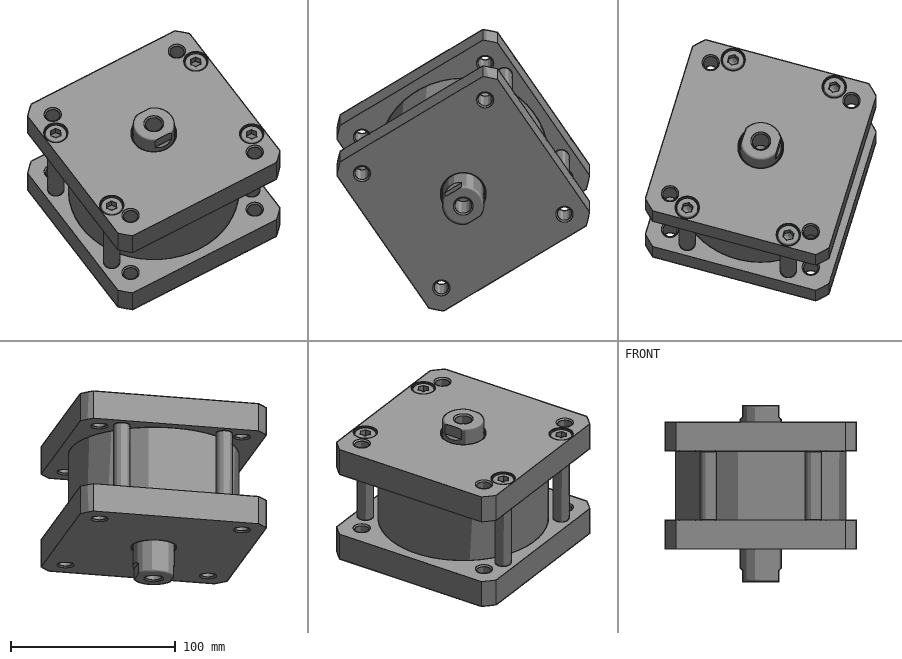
import cadquery as cq
import math


PLATE_SIDE = 116.0
PLATE_THICKNESS = 17.5
CORNER_DIAMETER = 155.1
MOUNT_HOLE_OFFSET = 44.4
MOUNT_HOLE_DIAMETER = 8.6
MOUNT_HOLE_CHAMFER = 0.9

BARREL_LENGTH = 42.0
BARREL_DIAMETER = 103.7
BARREL_BORE = 100.0
BARREL_EDGE_CHAMFER = 0.2

ROD_DIAMETER = 25.0
SEAL_RECESS_DIAMETER = 26.9
SEAL_RECESS_DEPTH = 2.3
SEAL_RECESS_CHAMFER = 0.5
ROD_RELIEF_DIAMETER = 25.6
ROD_RELIEF_DEPTH = 2.3
ROD_REACH_TOP = 10.0
ROD_REACH_BOTTOM = 2 * ROD_REACH_TOP
ROD_END_FILLET = 1.4
FLAT_WIDTH = 22.0
FLAT_LENGTH = 7.1
TAP_DIAMETER = 10.1
TAP_CHAMFER = 0.9
TAP_DEPTH = 20.0
TAP_POINT_ANGLE = 168.0

BOLT_X = 31.9
BOLT_Y = 50.1
BOLT_SHANK_DIAMETER = 10.0
BOLT_NECK_DIAMETER = 8.9
BOLT_HEAD_DIAMETER = 13.0
BOLT_HEAD_HEIGHT = 8.0
BOLT_HEAD_FILLET = 0.9
BOLT_ENGAGEMENT = 11.6
HEAD_RECESS = 0.5
COUNTERBORE_DIAMETER = 14.0
COUNTERBORE_CHAMFER = 0.3
SOCKET_ACROSS_FLATS = 6.0
SOCKET_DEPTH = 4.0
SOCKET_POINT_ANGLE = 118.0

INNER_FACE = BARREL_LENGTH / 2
OUTER_FACE = INNER_FACE + PLATE_THICKNESS
HEAD_TOP = OUTER_FACE - HEAD_RECESS
HEAD_SEAT = HEAD_TOP - BOLT_HEAD_HEIGHT
BOLT_END = -INNER_FACE - BOLT_ENGAGEMENT
ROD_TOP = OUTER_FACE + ROD_REACH_TOP
ROD_BOTTOM = -OUTER_FACE - ROD_REACH_BOTTOM

BOLT_POINTS = [(sx * BOLT_X, sy * BOLT_Y) for sx in (-1, 1) for sy in (-1, 1)]
MOUNT_POINTS = [
    (sx * MOUNT_HOLE_OFFSET, sy * MOUNT_HOLE_OFFSET) for sx in (-1, 1) for sy in (-1, 1)
]


def disc(diameter, z_low, z_high):
    """Cylinder on the Z axis between two heights."""
    return cq.Workplane("XY").workplane(offset=z_low).circle(diameter / 2).extrude(z_high - z_low)


def cone(diameter_low, diameter_high, z_low, z_high):
    """Cone or cone frustum on the Z axis between two heights."""
    height = z_high - z_low
    base = cq.Vector(0, 0, z_low)
    return cq.Workplane(cq.Solid.makeCone(diameter_low / 2, diameter_high / 2, height, base))


def drilled_hole(diameter, z_mouth, depth, point_angle):
    """Blind hole cutter opening upward, with a drill point below its full-diameter depth."""
    z_floor = z_mouth - depth
    point_height = diameter / 2 / math.tan(math.radians(point_angle / 2))
    return disc(diameter, z_floor, z_mouth).union(cone(0, diameter, z_floor - point_height, z_floor))


def chamfered_hole(diameter, z_low, z_high, chamfer):
    """Hole cutter that widens at its upper end."""
    mouth = cone(diameter, diameter + 2 * chamfer, z_high - chamfer, z_high)
    return disc(diameter, z_low, z_high).union(mouth)


def turned_over(body):
    """The body turned half a turn about the X axis."""
    return body.rotate((0, 0, 0), (1, 0, 0), 180)


def cut_at(body, cutter, points):
    """Cut the same axis-centred cutter out of a body at each XY point."""
    for x, y in points:
        body = body.cut(cutter.translate((x, y, 0)))
    return body


def make_plate():
    """Plate in the upper position, with rounded-off corners, the stepped rod bore and four mounting holes."""
    plate = (
        cq.Workplane("XY").workplane(offset=INNER_FACE)
        .rect(PLATE_SIDE, PLATE_SIDE).extrude(PLATE_THICKNESS)
        .intersect(disc(CORNER_DIAMETER, INNER_FACE, OUTER_FACE))
    )
    rod_bore = disc(ROD_DIAMETER, INNER_FACE, OUTER_FACE)
    recess_floor = OUTER_FACE - SEAL_RECESS_DEPTH
    recess = chamfered_hole(SEAL_RECESS_DIAMETER, recess_floor, OUTER_FACE, SEAL_RECESS_CHAMFER)
    relief = disc(ROD_RELIEF_DIAMETER, recess_floor - ROD_RELIEF_DEPTH, recess_floor)
    mount_hole = chamfered_hole(MOUNT_HOLE_DIAMETER, INNER_FACE, OUTER_FACE, MOUNT_HOLE_CHAMFER)
    inner_mouth = cone(
        MOUNT_HOLE_DIAMETER + 2 * MOUNT_HOLE_CHAMFER, MOUNT_HOLE_DIAMETER,
        INNER_FACE, INNER_FACE + MOUNT_HOLE_CHAMFER,
    )
    plate = plate.cut(rod_bore).cut(recess).cut(relief)
    return cut_at(plate, mount_hole.union(inner_mouth), MOUNT_POINTS)


def make_upper_plate():
    """Upper plate, with a counterbored hole for each tie bolt."""
    neck_hole = disc(BOLT_NECK_DIAMETER, INNER_FACE, OUTER_FACE)
    counterbore = chamfered_hole(COUNTERBORE_DIAMETER, HEAD_SEAT, OUTER_FACE, COUNTERBORE_CHAMFER)
    return cut_at(make_plate(), neck_hole.union(counterbore), BOLT_POINTS)


def make_lower_plate():
    """Lower plate, with a blind hole that seats the end of each tie bolt."""
    seat = disc(BOLT_NECK_DIAMETER, BOLT_END, -INNER_FACE)
    return cut_at(turned_over(make_plate()), seat, BOLT_POINTS)


def make_barrel():
    """Tube held between the plates, with its outer edges broken."""
    tube = disc(BARREL_DIAMETER, -INNER_FACE, INNER_FACE).edges().chamfer(BARREL_EDGE_CHAMFER)
    return tube.cut(disc(BARREL_BORE, -INNER_FACE, INNER_FACE))


def rod_end_cutter():
    """Tapped hole and two wrench flats for a rod end whose face is at z = 0, facing up."""
    hole = drilled_hole(TAP_DIAMETER, 0, TAP_DEPTH, TAP_POINT_ANGLE)
    cutter = hole.union(cone(TAP_DIAMETER, TAP_DIAMETER + 2 * TAP_CHAMFER, -TAP_CHAMFER, 0))
    inner = FLAT_WIDTH / 2
    outer = ROD_DIAMETER
    run_out = outer - inner
    for side in (-1, 1):
        flat = (
            cq.Workplane("XZ")
            .polyline([
                (side * inner, 0),
                (side * inner, -FLAT_LENGTH),
                (side * outer, -FLAT_LENGTH - run_out),
                (side * outer, 0),
            ])
            .close().extrude(ROD_DIAMETER / 2, both=True)
        )
        cutter = cutter.union(flat)
    return cutter


def make_rod():
    """Through rod with rounded ends; both ends carry flats and a tapped hole."""
    rod = disc(ROD_DIAMETER, ROD_BOTTOM, ROD_TOP).faces("<Z or >Z").edges().fillet(ROD_END_FILLET)
    cutter = rod_end_cutter()
    top_cutter = cutter.translate((0, 0, ROD_TOP))
    bottom_cutter = turned_over(cutter).translate((0, 0, ROD_BOTTOM))
    return rod.cut(top_cutter).cut(bottom_cutter)


def make_bolt():
    """Socket-head tie bolt on the Z axis, with a conical socket floor."""
    head = disc(BOLT_HEAD_DIAMETER, HEAD_SEAT, HEAD_TOP).faces(">Z").edges().fillet(BOLT_HEAD_FILLET)
    neck = disc(BOLT_NECK_DIAMETER, BOLT_END, HEAD_SEAT)
    shank_chamfer = (BOLT_SHANK_DIAMETER - BOLT_NECK_DIAMETER) / 2
    shank = disc(BOLT_SHANK_DIAMETER, -INNER_FACE, INNER_FACE).edges().chamfer(shank_chamfer)
    across_corners = SOCKET_ACROSS_FLATS / math.cos(math.pi / 6)
    hexagon = (
        cq.Workplane("XY").workplane(offset=HEAD_SEAT)
        .polygon(6, across_corners).extrude(BOLT_HEAD_HEIGHT)
        .rotate((0, 0, 0), (0, 0, 1), 90)
    )
    drilling = drilled_hole(across_corners, HEAD_TOP, SOCKET_DEPTH, SOCKET_POINT_ANGLE)
    return head.union(neck).union(shank).cut(hexagon.intersect(drilling))


upper_plate = make_upper_plate()
lower_plate = make_lower_plate()
barrel = make_barrel()
rod = make_rod()
bolt = make_bolt()
bolts = [bolt.translate((x, y, 0)) for x, y in BOLT_POINTS]

result = cq.Compound.makeCompound([
    upper_plate.val(),
    lower_plate.val(),
    barrel.val(),
    rod.val(),
    *[each.val() for each in bolts],
])